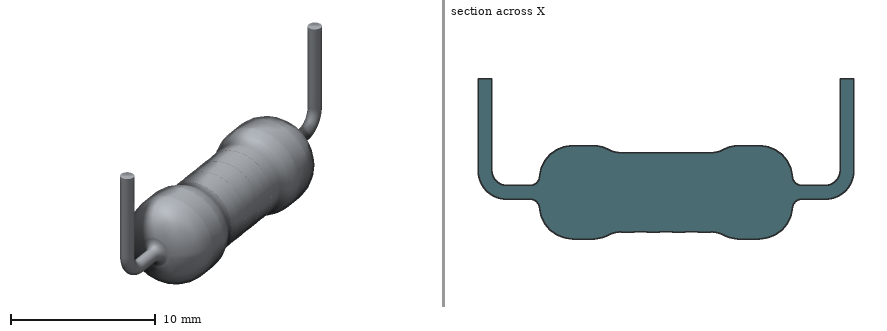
import cadquery as cq
import math

overall_length = 26.0
lead_diameter = 1.0
lead_radius = lead_diameter / 2
lead_bend_radius = 1.5
lead_top = 7.85
lead_offset = overall_length / 2 - lead_radius
bend_start = lead_offset - lead_bend_radius

cap_radius = 6.5 / 2
waist_radius = 5.5 / 2
band_radius = 5.55 / 2
band_width = 0.88
band_count = 4
banded_length = (2 * band_count - 1) * band_width
waist_end = banded_length / 2
shoulder_length = 1.87
shoulder_half_length = shoulder_length / 2
shoulder_half_rise = (cap_radius - waist_radius) / 2
shoulder_arc_radius = (shoulder_half_length**2 + shoulder_half_rise**2) / (2 * shoulder_half_rise)
cap_inner = waist_end + shoulder_length
cap_width = 1.48
cap_outer = cap_inner + cap_width
dome_radius = 2.31
neck_radius = 0.62
neck_base_radius = lead_radius + neck_radius

dome_center_radius = cap_radius - dome_radius
dome_end = cap_outer + math.sqrt(dome_radius**2 - (neck_base_radius - dome_center_radius) ** 2)
neck_end = dome_end + neck_radius


def make_waist():
    """Plain cylinder between the two shoulders."""
    return (
        cq.Workplane("XZ")
        .circle(waist_radius)
        .extrude(waist_end, both=True)
    )


def make_body_end():
    """Revolve the +Y end of the body: shoulder, cap, dome and neck."""
    shoulder_middle = (
        waist_radius + shoulder_half_rise,
        waist_end + shoulder_half_length,
    )
    profile = (
        cq.Workplane("XY")
        .moveTo(0, waist_end)
        .lineTo(waist_radius, waist_end)
        .radiusArc(shoulder_middle, shoulder_arc_radius)
        .tangentArcPoint((cap_radius, cap_inner), relative=False)
        .lineTo(cap_radius, cap_outer)
        .tangentArcPoint((neck_base_radius, dome_end), relative=False)
        .radiusArc((lead_radius, neck_end), neck_radius)
        .lineTo(0, neck_end)
        .close()
    )
    return profile.revolve(360, (0, 0, 0), (0, 1, 0))


def make_band(start):
    """Color band standing slightly proud of the waist, from start toward +Y."""
    return (
        cq.Workplane("XZ", origin=(0, start, 0))
        .circle(band_radius)
        .extrude(-band_width)
    )


def make_lead():
    """Round wire leaving the +Y neck and bending up to +Z."""
    path = (
        cq.Workplane("YZ")
        .moveTo(cap_outer, 0)
        .lineTo(bend_start, 0)
        .tangentArcPoint((lead_offset, lead_bend_radius), relative=False)
        .lineTo(lead_offset, lead_top)
    )
    section = cq.Workplane("XZ", origin=(0, cap_outer, 0)).circle(lead_radius)
    return section.sweep(path)


end = make_body_end().union(make_lead())
result = make_waist().union(end).union(end.mirror("XZ"))

for index in range(band_count):
    band_start = -waist_end + 2 * index * band_width
    result = result.union(make_band(band_start))